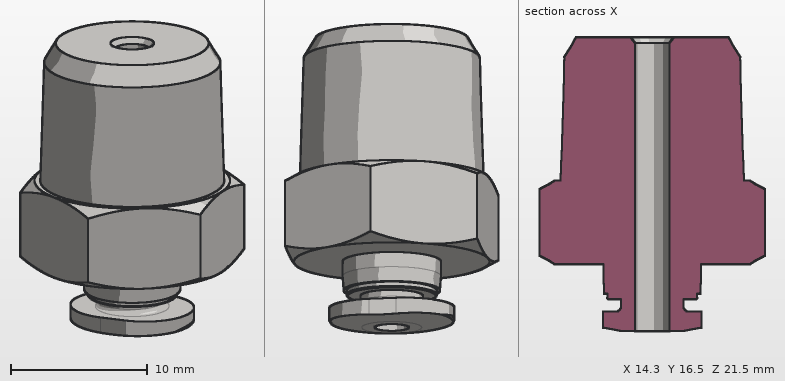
import cadquery as cq
import math

TOTAL_HEIGHT = 21.5
BUTTON_TOP = 1.46
COLLAR_BOTTOM = 2.35
COLLAR_STEP = 2.75
COLLAR_TAPER_TOP = 3.8
HEX_BOTTOM = 4.9
HEX_TOP = 11.03
THREAD_CHAMFER_START = 20.05

BUTTON_WIDTH = 7.2
BUTTON_FLAT = 2.0
BUTTON_LENGTH = BUTTON_WIDTH + BUTTON_FLAT
BUTTON_CONE_HEIGHT = 0.43
BUTTON_CONE_RADIUS = 4.5
BUTTON_RIM_HEIGHT = 0.62
BUTTON_BASE_RADIUS = 2.2

NECK_RADIUS = 4.58 / 2
NECK_FILLET = 0.4
COLLAR_RADIUS = 7.2 / 2
COLLAR_TAPER_RADIUS = 3.53
COLLAR_LIP_RADIUS = 6.6 / 2
COLLAR_LIP_CHAMFER = 0.09

HEX_ACROSS_FLATS = 14.3
HEX_CORNER_RADIUS = HEX_ACROSS_FLATS / math.sqrt(3)
HEX_CHAMFER_ANGLE = math.radians(30)

THREAD_BASE_RADIUS = 6.73
THREAD_END_RADIUS = 6.45
THREAD_TIP_RADIUS = 5.6

BORE_RADIUS = 2.5 / 2
BORE_MOUTH_RADIUS = 3.18 / 2
BORE_CHAMFER_DEPTH = 0.43


def revolve_profile(profile):
    """Revolve a closed (radius, height) outline about the Z axis."""
    return profile.close().revolve(360, (0, 0, 0), (0, 1, 0))


def make_button():
    plate = cq.Workplane("XY").slot2D(BUTTON_LENGTH, BUTTON_WIDTH).extrude(BUTTON_TOP)
    rim_radius = BUTTON_LENGTH / 2
    envelope = revolve_profile(
        cq.Workplane("XZ")
        .moveTo(0, 0)
        .lineTo(BUTTON_BASE_RADIUS, 0)
        .lineTo(BUTTON_CONE_RADIUS, BUTTON_CONE_HEIGHT)
        .lineTo(rim_radius, BUTTON_RIM_HEIGHT)
        .lineTo(rim_radius, BUTTON_TOP)
        .lineTo(0, BUTTON_TOP)
    )
    return plate.intersect(envelope)


def make_neck_and_collar():
    return revolve_profile(
        cq.Workplane("XZ")
        .moveTo(0, BUTTON_TOP)
        .lineTo(NECK_RADIUS + NECK_FILLET, BUTTON_TOP)
        .radiusArc((NECK_RADIUS, BUTTON_TOP + NECK_FILLET), NECK_FILLET)
        .lineTo(NECK_RADIUS, COLLAR_BOTTOM)
        .lineTo(COLLAR_LIP_RADIUS - COLLAR_LIP_CHAMFER, COLLAR_BOTTOM)
        .lineTo(COLLAR_LIP_RADIUS, COLLAR_BOTTOM + COLLAR_LIP_CHAMFER)
        .lineTo(COLLAR_LIP_RADIUS, COLLAR_STEP)
        .lineTo(COLLAR_TAPER_RADIUS, COLLAR_STEP)
        .lineTo(COLLAR_RADIUS, COLLAR_TAPER_TOP)
        .lineTo(COLLAR_RADIUS, HEX_BOTTOM)
        .lineTo(0, HEX_BOTTOM)
    )


def make_hex():
    prism = (
        cq.Workplane("XY", origin=(0, 0, HEX_BOTTOM))
        .polygon(6, 2 * HEX_CORNER_RADIUS)
        .extrude(HEX_TOP - HEX_BOTTOM)
        .rotate((0, 0, 0), (0, 0, 1), 30)
    )
    face_radius = HEX_ACROSS_FLATS / 2
    chamfer_height = (HEX_CORNER_RADIUS - face_radius) * math.tan(HEX_CHAMFER_ANGLE)
    envelope = revolve_profile(
        cq.Workplane("XZ")
        .moveTo(0, HEX_BOTTOM)
        .lineTo(face_radius, HEX_BOTTOM)
        .lineTo(HEX_CORNER_RADIUS, HEX_BOTTOM + chamfer_height)
        .lineTo(HEX_CORNER_RADIUS, HEX_TOP - chamfer_height)
        .lineTo(face_radius, HEX_TOP)
        .lineTo(0, HEX_TOP)
    )
    return prism.intersect(envelope)


def make_thread_body():
    return revolve_profile(
        cq.Workplane("XZ")
        .moveTo(0, HEX_TOP)
        .lineTo(THREAD_BASE_RADIUS, HEX_TOP)
        .lineTo(THREAD_END_RADIUS, THREAD_CHAMFER_START)
        .lineTo(THREAD_TIP_RADIUS, TOTAL_HEIGHT)
        .lineTo(0, TOTAL_HEIGHT)
    )


def make_bore():
    return revolve_profile(
        cq.Workplane("XZ")
        .moveTo(0, 0)
        .lineTo(BORE_RADIUS, 0)
        .lineTo(BORE_RADIUS, TOTAL_HEIGHT - BORE_CHAMFER_DEPTH)
        .lineTo(BORE_MOUTH_RADIUS, TOTAL_HEIGHT)
        .lineTo(0, TOTAL_HEIGHT)
    )


body = make_button().union(make_neck_and_collar()).union(make_hex()).union(make_thread_body())
result = body.cut(make_bore())